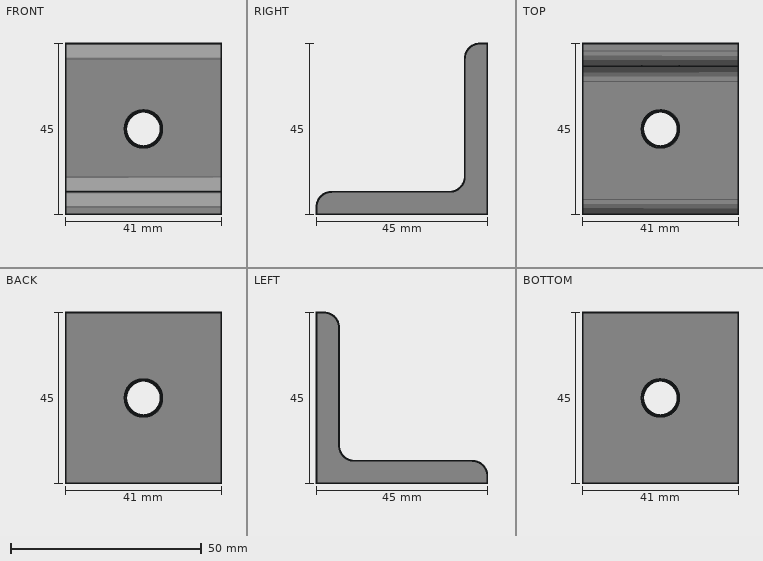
import cadquery as cq

leg_length = 45.0
width = 41.0
thickness = 6.0
round_radius = 4.0
hole_diameter = 9.0
hole_chamfer = 0.5

half_leg = leg_length / 2
half_width = width / 2
hole_radius = hole_diameter / 2
back = half_leg
wall_face = back - thickness


def make_angle():
    """L-shaped bar with rounded toes and a filleted inner corner."""
    profile = (
        cq.Workplane("YZ", origin=(-half_width, 0, 0))
        .moveTo(back, 0)
        .lineTo(back, leg_length)
        .lineTo(wall_face, leg_length)
        .lineTo(wall_face, thickness)
        .lineTo(-half_leg, thickness)
        .lineTo(-half_leg, 0)
        .close()
    )
    bar = profile.extrude(width)
    rounded_edges = [
        (wall_face, leg_length),
        (wall_face, thickness),
        (-half_leg, thickness),
    ]
    for y, z in rounded_edges:
        edge = cq.selectors.NearestToPointSelector((0, y, z))
        bar = bar.edges(edge).fillet(round_radius)
    return bar


def make_hole_cutter(inner_face, direction):
    """Through hole with a chamfered mouth on both faces of the leg."""
    start = cq.Vector(*inner_face)
    axis = cq.Vector(*direction)
    end = start + axis * thickness
    cutter = cq.Solid.makeCylinder(hole_radius, thickness, start, axis)
    mouth_radius = hole_radius + hole_chamfer
    for mouth_center, inward in ((start, axis), (end, axis * -1)):
        mouth = cq.Solid.makeCone(mouth_radius, hole_radius, hole_chamfer, mouth_center, inward)
        cutter = cutter.fuse(mouth)
    return cutter


base_hole = make_hole_cutter((0, 0, thickness), (0, 0, -1))
upright_hole = make_hole_cutter((0, wall_face, half_leg), (0, 1, 0))

result = make_angle().cut(base_hole).cut(upright_hole)